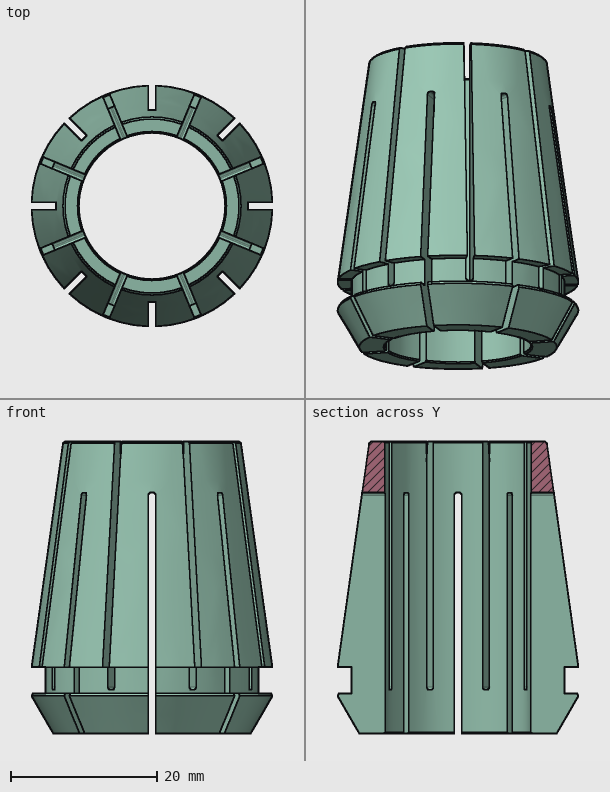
import cadquery as cq
import math

height = 40.0
max_radius = 16.5
bore_radius = 10.0

taper_bottom_z = 9.1
taper_half_angle = 8.0
top_radius = max_radius - (height - taper_bottom_z) * math.tan(math.radians(taper_half_angle))

groove_radius = 14.6
groove_bottom_z = 5.5
flange_chamfer_width = 0.2
flange_chamfer_height = 0.35
nose_half_angle = 30.0
nose_top_z = groove_bottom_z - flange_chamfer_height
nose_radius = max_radius - nose_top_z * math.tan(math.radians(nose_half_angle))

rim_chamfer = 0.25
bore_chamfer = 0.2

slot_width = 1.0
slot_corner_radius = 0.4
slots_per_set = 8
slot_pitch = 360.0 / slots_per_set
lower_slot_top_z = 33.0
upper_slot_bottom_z = 6.0
slot_overrun = 1.0


def make_body():
    """Revolve the half section of the unslotted collet about Z."""
    rim_start_z = height - rim_chamfer
    rim_start_radius = top_radius + rim_chamfer * math.tan(math.radians(taper_half_angle))
    half_section = [
        (bore_radius + bore_chamfer, 0),
        (nose_radius, 0),
        (max_radius, nose_top_z),
        (max_radius - flange_chamfer_width, groove_bottom_z),
        (groove_radius, groove_bottom_z),
        (groove_radius, taper_bottom_z),
        (max_radius, taper_bottom_z),
        (rim_start_radius, rim_start_z),
        (top_radius - rim_chamfer, height),
        (bore_radius + bore_chamfer, height),
        (bore_radius, height - bore_chamfer),
        (bore_radius, bore_chamfer),
    ]
    return cq.Workplane("XZ").polyline(half_section).close().revolve(360, (0, 0), (0, 1))


def make_slot_cutter(open_z, floor_z, angle):
    """Radial slot along +X turned by angle, open at open_z and ending with rounded corners at floor_z."""
    half_width = slot_width / 2
    floor_half_width = half_width - slot_corner_radius
    toward_end = math.copysign(1, floor_z - open_z)
    corner_start_z = floor_z - toward_end * slot_corner_radius
    corner_inset = slot_corner_radius * (1 - math.sqrt(0.5))
    corner_mid_y = half_width - corner_inset
    corner_mid_z = floor_z - toward_end * corner_inset
    profile = (
        cq.Workplane("YZ")
        .moveTo(-half_width, open_z)
        .lineTo(-half_width, corner_start_z)
        .threePointArc((-corner_mid_y, corner_mid_z), (-floor_half_width, floor_z))
        .lineTo(floor_half_width, floor_z)
        .threePointArc((corner_mid_y, corner_mid_z), (half_width, corner_start_z))
        .lineTo(half_width, open_z)
        .close()
    )
    return profile.extrude(max_radius + slot_overrun).rotate((0, 0, 0), (0, 0, 1), angle)


def cut_slots(body):
    """Cut slots from below and, halfway between them, slots from above."""
    for index in range(slots_per_set):
        lower_angle = index * slot_pitch
        upper_angle = lower_angle + slot_pitch / 2
        body = body.cut(make_slot_cutter(-slot_overrun, lower_slot_top_z, lower_angle))
        body = body.cut(make_slot_cutter(height + slot_overrun, upper_slot_bottom_z, upper_angle))
    return body


result = cut_slots(make_body())